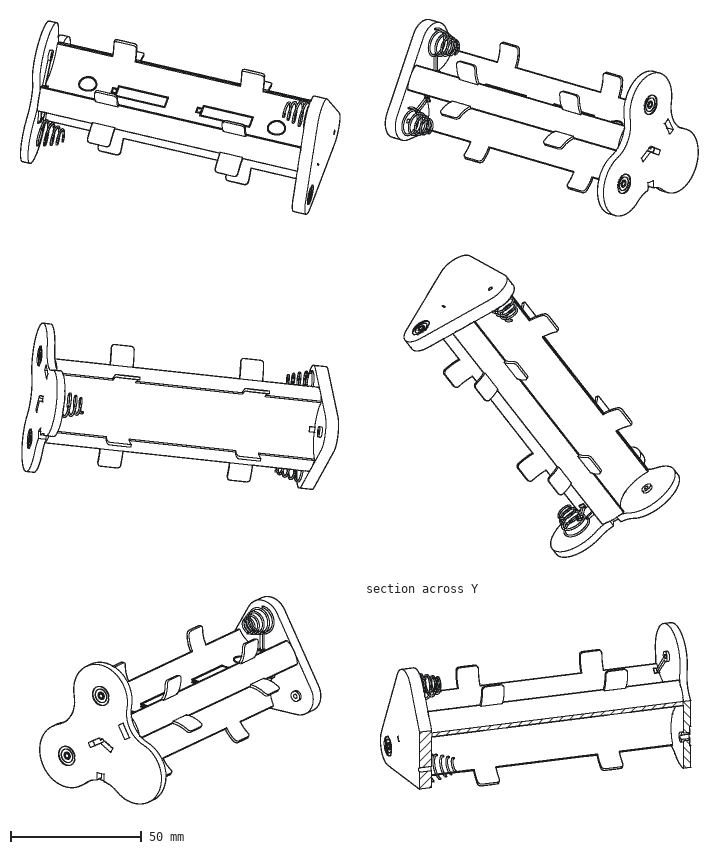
import cadquery as cq
import math

cell_spacing = 31.9
cell_distance = cell_spacing / math.sqrt(3)
top_angle = 90
front_angle = 210
back_angle = 330
half_step = 60
cell_angles = (top_angle, front_angle, back_angle)
neighbouring_cells = ((top_angle, front_angle), (front_angle, back_angle), (back_angle, top_angle))

overall_length = 112.0
near_plate_thickness = 3.0
far_plate_thickness = 5.0
far_plate_start = overall_length - far_plate_thickness
lobe_radius = 12.7
neck_radius = 11.6
far_corner_radius = 7.7

channel_radius = 12.5
wall_thickness = 1.0
wall_outer_radius = channel_radius + wall_thickness
channel_edge_angle = -30
channel_land = 0.6
core_apex_radius = 17.0
core_length = far_plate_start - near_plate_thickness
clip_width = 9.0
clip_centre_spacing = 51.0
long_clip_angle = 6.5
short_clip_angle = 1.0
clip_overlap_angle = 4
clip_corner = 1.3
clip_centres = [near_plate_thickness + core_length / 2 + side * clip_centre_spacing / 2 for side in (-1, 1)]
clip_layout = (
    (top_angle, False, long_clip_angle),
    (top_angle, True, long_clip_angle),
    (front_angle, False, long_clip_angle),
    (front_angle, True, short_clip_angle),
    (back_angle, False, short_clip_angle),
    (back_angle, True, long_clip_angle),
)

mark_depth = 0.2
mark_line_width = 0.3
outline_length = 19.9
outline_width = 5.2
outline_centres = (39.9, 73.7)
nub_length = 1.8
nub_width = 2.5
ring_radius = 3.5
ring_centres = (18.4, 93.6)

chevron_apex = 1.5
chevron_arm_length = 6.0
chevron_width = 2.0
lead_slot_length = 6.0
lead_slot_width = 2.5
lead_slot_distance = 12.7
wire_notch_width = 3.2
wire_notch_top = -13.0

rivet_hole_radius = 0.8
rivet_rim_radius = 1.2
rivet_rim_depth = 0.1
rivet_shank_radius = 1.5
rivet_rear_radius = 2.7
rivet_rear_thickness = 0.2
rivet_pocket_radius = 3.8
rivet_pocket_depth = 0.5
button_radius = 2.0
button_height = 1.0

strip_thickness = button_height
strip_width = 1.0
tab_thickness = 0.5
tab_width = 2.0
tab_reach = 2.0
floor_angle = -90
lead_strip_turn = 47

spring_length = 10.4
spring_base_radius = 5.3
spring_tip_radius = 2.6
spring_base_turns = 0.5
spring_base_rise = 0.5
spring_turns = 4
spring_start_angle = 90
spring_wire_radius = 0.3
spring_points_per_turn = 12
spring_closing = 0.25


def polar(radius, angle):
    """Point (Y, Z) at a radius and an angle in degrees, measured from +Y towards +Z."""
    a = math.radians(angle)
    return (radius * math.cos(a), radius * math.sin(a))


def from_cell(cell_angle, radius, angle):
    """Point (Y, Z) around a cell axis, its angle measured as it would be in the top cell."""
    centre = polar(cell_distance, cell_angle)
    offset = polar(radius, angle + cell_angle - top_angle)
    return (centre[0] + offset[0], centre[1] + offset[1])


def at_x(x):
    """Workplane across the part, with local axes Y and Z and its normal along +X."""
    return cq.Workplane("YZ", origin=(x, 0, 0))


def disc(x, centre, radius, length):
    return at_x(x).center(*centre).circle(radius).extrude(length)


def block(x, centre, width, height, length, angle=0):
    """Rectangular bar along X whose cross-section is turned by an angle."""
    profile = at_x(x).transformed(offset=(*centre, 0), rotate=(0, 0, angle))
    return profile.rect(width, height).extrude(length)


def cell_centre(cell_angle):
    return polar(cell_distance, cell_angle)


def core_profile():
    left_edge_angle = 180 - channel_edge_angle
    edge_side, edge_height = polar(channel_radius, channel_edge_angle)
    land_radius = math.hypot(edge_side + channel_land, edge_height)
    land_angle = math.degrees(math.atan2(edge_height, edge_side + channel_land))
    profile = at_x(near_plate_thickness).moveTo(*from_cell(top_angle, channel_radius, channel_edge_angle))
    for cell, next_cell in neighbouring_cells:
        profile = profile.threePointArc(
            from_cell(cell, channel_radius, floor_angle),
            from_cell(cell, channel_radius, left_edge_angle),
        )
        profile = profile.lineTo(*from_cell(cell, land_radius, 180 - land_angle))
        profile = profile.threePointArc(
            polar(core_apex_radius, cell + half_step),
            from_cell(next_cell, land_radius, land_angle),
        )
        profile = profile.lineTo(*from_cell(next_cell, channel_radius, channel_edge_angle))
    return profile.close()


def clip(x_centre, cell_angle, mirrored, tip_angle):
    """Curved finger that carries the channel wall on past the edge of the core."""
    def spot(radius, angle):
        return from_cell(cell_angle, radius, 180 - angle if mirrored else angle)

    root = channel_edge_angle - clip_overlap_angle
    middle = (root + tip_angle) / 2
    finger = (
        at_x(x_centre - clip_width / 2)
        .moveTo(*spot(channel_radius, root))
        .threePointArc(spot(channel_radius, middle), spot(channel_radius, tip_angle))
        .lineTo(*spot(wall_outer_radius, tip_angle))
        .threePointArc(spot(wall_outer_radius, middle), spot(wall_outer_radius, root))
        .close()
        .extrude(clip_width)
    )
    tip = spot(channel_radius + wall_thickness / 2, tip_angle)
    for side in (-1, 1):
        corner = cq.selectors.NearestToPointSelector((x_centre + side * clip_width / 2, *tip))
        finger = finger.edges(corner).fillet(clip_corner)
    return finger


def channel_marks():
    """Engraved lines on the top channel floor, following its curve."""
    def plan(x):
        return cq.Workplane("XY", origin=(x, 0, 0))

    height = cell_distance
    two_lines = 2 * mark_line_width
    marks = cq.Workplane("XY")
    for x in outline_centres:
        nub_x = x - outline_length / 2 - nub_length / 2
        nub = plan(nub_x).rect(nub_length + two_lines / 2, nub_width).extrude(height)
        nub = nub.cut(plan(nub_x).rect(nub_length - two_lines / 2, nub_width - two_lines).extrude(height))
        body = plan(x).rect(outline_length, outline_width).extrude(height)
        body = body.cut(plan(x).rect(outline_length - two_lines, outline_width - two_lines).extrude(height))
        marks = marks.add(nub.union(body))
    for x in ring_centres:
        marks = marks.add(plan(x).circle(ring_radius).circle(ring_radius - mark_line_width).extrude(height))
    floor_layer = disc(near_plate_thickness, cell_centre(top_angle), channel_radius + mark_depth, core_length)
    return marks.combine().intersect(floor_layer)


def make_core():
    core = core_profile().extrude(core_length)
    for x in clip_centres:
        for cell, mirrored, tip_angle in clip_layout:
            core = core.union(clip(x, cell, mirrored, tip_angle))
    return core.cut(channel_marks())


def rivet_seat(face_x, inward, cell):
    """Stepped hole for a rivet: a shank bore and a pocket in the outer face of a plate."""
    thickness = near_plate_thickness if inward > 0 else far_plate_thickness
    centre = cell_centre(cell)
    bore = disc(face_x, centre, rivet_shank_radius, inward * thickness)
    return bore.union(disc(face_x, centre, rivet_pocket_radius, inward * rivet_pocket_depth))


def make_near_plate():
    tangent = math.degrees(math.acos(cell_spacing / 2 / (lobe_radius + neck_radius)))
    neck_distance = cell_distance / 2 + (lobe_radius + neck_radius) * math.sin(math.radians(tangent))
    neck_apex = neck_distance - neck_radius
    start = tangent - half_step
    end = 180 - start
    plate = at_x(0).moveTo(*from_cell(top_angle, lobe_radius, start))
    for cell, next_cell in neighbouring_cells:
        plate = plate.threePointArc(from_cell(cell, lobe_radius, top_angle), from_cell(cell, lobe_radius, end))
        plate = plate.threePointArc(polar(neck_apex, cell + half_step), from_cell(next_cell, lobe_radius, start))
    plate = plate.close().extrude(near_plate_thickness)

    plate = plate.cut(chevron_slot()).cut(lead_slot()).cut(wire_notch())
    for cell in (top_angle, back_angle):
        plate = plate.cut(rivet_seat(0, 1, cell))
    return plate


def chevron_slot():
    """Two arms that run down from a ridge towards the two lower cells."""
    slot = cq.Workplane("YZ")
    ridge = chevron_apex - chevron_width / 2
    for angle in (front_angle, back_angle):
        middle = polar(chevron_arm_length / 2, angle)
        arm = block(0, (middle[0], middle[1] + ridge), chevron_arm_length, chevron_width,
                    near_plate_thickness, angle)
        slot = slot.add(arm)
    return slot.combine()


def lead_slot():
    """Slot between the top and front cells, long side across the line to the X axis."""
    angle = (top_angle + front_angle) / 2
    centre = polar(lead_slot_distance, angle)
    return block(0, centre, lead_slot_width, lead_slot_length, near_plate_thickness, angle)


def wire_notch():
    """Notch open to the lower edge between the front and back cells."""
    bottom = -core_apex_radius
    centre = (0, (wire_notch_top + bottom) / 2)
    return block(0, centre, wire_notch_width, wire_notch_top - bottom, near_plate_thickness)


def make_far_plate():
    plate = at_x(far_plate_start).polyline([cell_centre(cell) for cell in cell_angles]).close()
    plate = plate.offset2D(far_corner_radius).extrude(far_plate_thickness)
    plate = plate.cut(rivet_seat(overall_length, -1, front_angle))
    plate = plate.cut(disc(far_plate_start, cell_centre(back_angle), rivet_hole_radius, far_plate_thickness))
    return plate.cut(make_jumper())


def make_jumper():
    """Tab that passes through the far plate onto the floor of the front channel."""
    centre = from_cell(front_angle, channel_radius - tab_thickness, floor_angle)
    length = tab_reach + far_plate_thickness
    return block(far_plate_start - tab_reach, centre, tab_thickness, tab_width, length, front_angle)


def contact_strip(plate_face, inward, cell, angle, inner_radius):
    """Flat strip lying on a plate that runs out to the channel wall and ends in a bent tab."""
    turn = angle + cell - top_angle
    outer_radius = channel_radius - tab_thickness
    middle = from_cell(cell, (inner_radius + outer_radius) / 2, angle)
    strip = block(plate_face, middle, outer_radius - inner_radius, strip_width, inward * strip_thickness, turn)
    end = from_cell(cell, outer_radius, angle)
    return strip.union(block(plate_face, end, tab_thickness, tab_width, inward * tab_reach, turn))


def make_rivet(outer_x, inward, thickness, cell, strip_angles):
    """Hollow rivet: rear head in the pocket, shank through the plate, contact button inside."""
    centre = cell_centre(cell)
    head_start = outer_x + inward * (rivet_pocket_depth - rivet_rear_thickness)
    button_start = outer_x + inward * thickness
    rivet = disc(outer_x + inward * rivet_pocket_depth, centre, rivet_shank_radius,
                 inward * (thickness - rivet_pocket_depth + button_height))
    rivet = rivet.union(disc(head_start, centre, rivet_rear_radius, inward * rivet_rear_thickness))
    rivet = rivet.union(disc(button_start, centre, button_radius, inward * button_height))
    for angle in strip_angles:
        rivet = rivet.union(contact_strip(button_start, inward, cell, angle, 0))
    rivet = rivet.cut(disc(head_start, centre, rivet_rim_radius, inward * rivet_rim_depth))
    return rivet.cut(disc(outer_x, centre, rivet_hole_radius, inward * (thickness + button_height)))


def make_spring(base_x, inward, cell, strip_angles):
    """Conical coil that narrows away from its plate, its turns closing up towards the tip."""
    centre = cell_centre(cell)
    reach = spring_length - 2 * spring_wire_radius - spring_base_rise
    total_turns = spring_base_turns + spring_turns
    steps = round(total_turns * spring_points_per_turn)
    points = []
    for step in range(steps + 1):
        turns = total_turns * step / steps
        along = max(0, turns - spring_base_turns) / spring_turns
        radius = spring_base_radius + (spring_tip_radius - spring_base_radius) * along
        rise = spring_base_rise * min(1, turns / spring_base_turns)
        rise += reach * along * (1 + spring_closing * (1 - along))
        offset = polar(radius, spring_start_angle - inward * 360 * turns)
        x = base_x + inward * (spring_wire_radius + rise)
        points.append(cq.Vector(x, centre[0] + offset[0], centre[1] + offset[1]))
    path = cq.Edge.makeSpline(points)
    section = cq.Workplane(cq.Plane(origin=path.startPoint(), normal=path.tangentAt(0)))
    spring = section.circle(spring_wire_radius).sweep(cq.Workplane(path), isFrenet=True)
    for angle in strip_angles:
        strip = contact_strip(base_x, inward, cell, angle, spring_base_radius - spring_wire_radius)
        spring = spring.union(strip)
    return spring


core = make_core()
near_plate = make_near_plate()
far_plate = make_far_plate()
jumper = make_jumper()

rivet_lead_angle = floor_angle - lead_strip_turn
spring_lead_angle = floor_angle + lead_strip_turn
rivets = [
    make_rivet(0, 1, near_plate_thickness, top_angle, (rivet_lead_angle,)),
    make_rivet(0, 1, near_plate_thickness, back_angle, ()),
    make_rivet(overall_length, -1, far_plate_thickness, front_angle, ()),
]
springs = [
    make_spring(far_plate_start, -1, top_angle, (floor_angle,)),
    make_spring(far_plate_start, -1, back_angle, (floor_angle,)),
    make_spring(near_plate_thickness, 1, front_angle, (floor_angle, spring_lead_angle)),
]

result = cq.Compound.makeCompound(
    [core.val(), near_plate.val(), far_plate.val(), jumper.val()]
    + [rivet.val() for rivet in rivets]
    + [spring.val() for spring in springs]
)